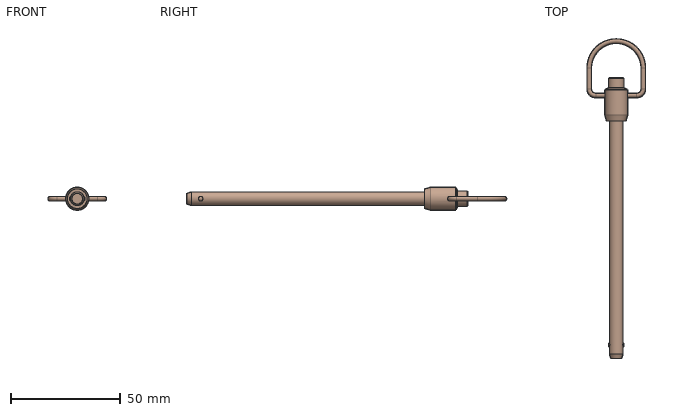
import cadquery as cq
import math


overall_length = 146.79

shank_diameter = 6.35
shank_radius = shank_diameter / 2
shank_length = 109.0
tip_radius = 2.45
tip_taper_length = 2.1

ball_radius = 1.25
ball_reach = 3.65
ball_setback = 6.4

collar_diameter = 10.67
collar_radius = collar_diameter / 2
collar_length = 14.7
collar_end_radius = 4.5
collar_taper_length = 2.8
collar_chamfer = 0.5

shoulder_height = 0.6
button_diameter = 7.3
button_radius = button_diameter / 2
button_height = 4.65
button_chamfer = 0.45

ring_width = 27.0
wire_radius = 1.1
ring_corner_radius = 3.0
ring_top = overall_length - shank_length

ring_half_width = ring_width / 2 - wire_radius
ring_bar_y = 11.75
ring_corner_y = ring_bar_y + ring_corner_radius
ring_arc_y = ring_top - ring_width / 2


def make_pin_body():
    """Shank, collar and button, revolved as one stepped profile about Y."""
    button_top = collar_length + shoulder_height + button_height
    profile = [
        (0, -shank_length),
        (tip_radius, -shank_length),
        (shank_radius, tip_taper_length - shank_length),
        (shank_radius, 0),
        (collar_end_radius, 0),
        (collar_radius, collar_taper_length),
        (collar_radius, collar_length - collar_chamfer),
        (collar_radius - collar_chamfer, collar_length),
        (button_radius, collar_length + shoulder_height),
        (button_radius, button_top - button_chamfer),
        (button_radius - button_chamfer, button_top),
        (0, button_top),
    ]
    return cq.Workplane("XY").polyline(profile).close().revolve(360, (0, 0, 0), (0, 1, 0))


def make_ball(side):
    """Locking ball standing out of the shank on the +X (1) or -X (-1) side."""
    center = (side * (ball_reach - ball_radius), ball_setback - shank_length, 0)
    return cq.Workplane("XY").sphere(ball_radius).translate(center)


def make_ring():
    """D-shaped wire ring whose straight bar passes through the collar."""
    corner_x = ring_half_width - ring_corner_radius
    bend = ring_corner_radius * math.sqrt(0.5)
    path = (
        cq.Workplane("XY")
        .moveTo(0, ring_bar_y)
        .lineTo(corner_x, ring_bar_y)
        .threePointArc((corner_x + bend, ring_corner_y - bend), (ring_half_width, ring_corner_y))
        .lineTo(ring_half_width, ring_arc_y)
        .threePointArc((0, ring_arc_y + ring_half_width), (-ring_half_width, ring_arc_y))
        .lineTo(-ring_half_width, ring_corner_y)
        .threePointArc((-corner_x - bend, ring_corner_y - bend), (-corner_x, ring_bar_y))
        .close()
    )
    return cq.Workplane("YZ").center(ring_bar_y, 0).circle(wire_radius).sweep(path)


result = make_pin_body().union(make_ring())
for side in (-1, 1):
    result = result.union(make_ball(side))